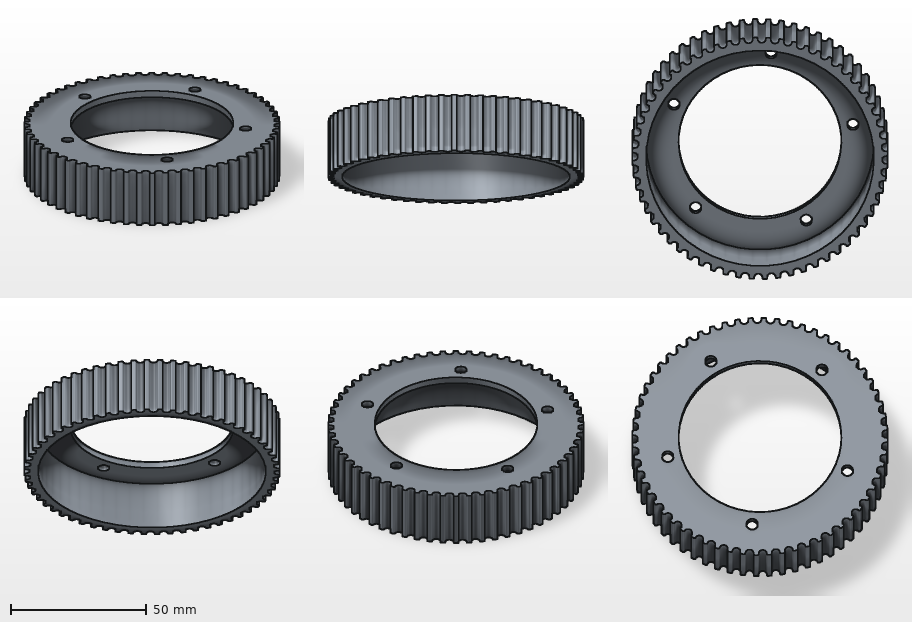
import cadquery as cq

tooth_count = 60
outer_diameter = 94.4
height = 21.0
groove_radius = 1.5
groove_depth = 2.1
tip_radius = 0.5

plate_thickness = 2.5
bore_diameter = 60.0
recess_diameter = 84.1

hole_count = 5
hole_diameter = 4.2
hole_circle_radius = 35.0
first_hole_angle = 90

outer_radius = outer_diameter / 2
groove_center_radius = outer_radius - groove_depth + groove_radius


def make_groove():
    """Round belt groove on the +X axis, cut by a cylinder that breaks out of the rim."""
    return (
        cq.Workplane("XY")
        .center(groove_center_radius, 0)
        .circle(groove_radius)
        .extrude(height)
        .val()
    )


def make_toothed_disc():
    """Solid disc with evenly spaced belt grooves and rounded tooth tips."""
    pitch_angle = 360 / tooth_count
    groove = make_groove()
    grooves = [
        groove.rotate(cq.Vector(0, 0, 0), cq.Vector(0, 0, 1), index * pitch_angle)
        for index in range(tooth_count)
    ]
    disc = cq.Workplane("XY").circle(outer_radius).extrude(height)
    toothed = disc.cut(cq.Workplane(cq.Compound.makeCompound(grooves)))
    return toothed.edges("|Z").fillet(tip_radius)


def make_bore():
    """Central opening: a bore through the face plate, widened to a recess below it."""
    bore = cq.Workplane("XY").circle(bore_diameter / 2).extrude(height)
    recess = cq.Workplane("XY").circle(recess_diameter / 2).extrude(height - plate_thickness)
    return bore.union(recess)


def make_mounting_holes():
    """Equally spaced holes through the face plate."""
    return (
        cq.Workplane("XY")
        .polarArray(hole_circle_radius, first_hole_angle, 360, hole_count)
        .circle(hole_diameter / 2)
        .extrude(height)
    )


result = make_toothed_disc().cut(make_bore()).cut(make_mounting_holes())